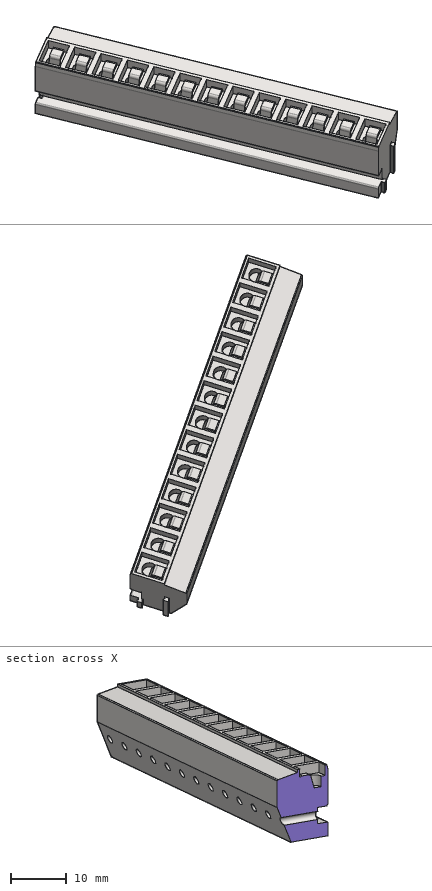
import cadquery as cq

OVERALL_LENGTH = 65.7
POLES = 13
RIB_REACH = 0.7
BODY_LENGTH = OVERALL_LENGTH - RIB_REACH
PITCH = BODY_LENGTH / POLES
DEPTH = 10.8
HEIGHT = 13.5

LIP_TOP = 2.7
LIP_RADIUS = 0.25
NOTCH_TOP = 5.65
NOTCH_DEPTH = 2.2
NOTCH_EDGE_SETBACK = 0.25
NOTCH_EDGE_HEIGHT = 0.4
FRONT_BEVEL_BOTTOM = 12.55
FRONT_BEVEL_TOP = 13.35
FRONT_BEVEL_SETBACK = 0.2
TOP_EDGE_SETBACK = 0.3
STEP_Y = 6.5
STEP_BOTTOM = 12.95
BACK_TOP = 12.2
BACK_EDGE_CHAMFER = 0.2
BACK_SLOPE_TOP = 7.0
BASE_DEPTH = 7.8

POCKET_WIDTH = 4.0
POCKET_FRONT = 0.7
POCKET_BACK = 5.9
POCKET_DEPTH = 2.0
POCKET_FLOOR = HEIGHT - POCKET_DEPTH
WELL_DIAMETER = 2.6
WELL_Y = 2.8
WELL_DEPTH = 2.0
WELL_FLOOR = POCKET_FLOOR - WELL_DEPTH
TAB_WIDTH = 2.05
TAB_RISE = 0.65
TAB_TOP = POCKET_FLOOR + TAB_RISE
TAB_BACK_DROP = 0.1
TAB_CREST_BACK = 5.5
TAB_CREST_FRONT = 4.1
TAB_NOSE_RADIUS = 0.5
TAB_TOE = 2.9

WIRE_HOLE_DIAMETER = 1.45
WIRE_HOLE_Z = 4.2

JOINTS = [(7.0, 7.2), (2.05, LIP_TOP)]
JOINT_ROOT_WIDTH = 1.0
JOINT_NECK_WIDTH = 0.65
JOINT_HEAD_WIDTH = 1.05
JOINT_TIP_WIDTH = 0.8
JOINT_BEVEL = 0.1


def housing():
    outline = (
        cq.Workplane("YZ")
        .lineTo(0, LIP_TOP - LIP_RADIUS)
        .tangentArcPoint((LIP_RADIUS, LIP_TOP), relative=False)
        .lineTo(NOTCH_DEPTH, LIP_TOP)
        .lineTo(NOTCH_DEPTH, NOTCH_TOP)
        .lineTo(NOTCH_EDGE_SETBACK, NOTCH_TOP)
        .lineTo(0, NOTCH_TOP + NOTCH_EDGE_HEIGHT)
        .lineTo(0, FRONT_BEVEL_BOTTOM)
        .lineTo(FRONT_BEVEL_SETBACK, FRONT_BEVEL_TOP)
        .lineTo(TOP_EDGE_SETBACK, HEIGHT)
        .lineTo(STEP_Y, HEIGHT)
        .lineTo(STEP_Y, STEP_BOTTOM)
        .lineTo(DEPTH - BACK_EDGE_CHAMFER, BACK_TOP)
        .lineTo(DEPTH, BACK_TOP - BACK_EDGE_CHAMFER)
        .lineTo(DEPTH, BACK_SLOPE_TOP)
        .lineTo(BASE_DEPTH, 0)
        .close()
    )
    return outline.extrude(BODY_LENGTH)


def pocket(center_x):
    """Rectangular opening with a round well in its floor."""
    opening = cq.Workplane("XY").box(
        POCKET_WIDTH, POCKET_BACK - POCKET_FRONT, POCKET_DEPTH, centered=(True, False, False)
    )
    well = cq.Workplane("XY").circle(WELL_DIAMETER / 2).extrude(WELL_DEPTH)
    opening = opening.translate((center_x, POCKET_FRONT, POCKET_FLOOR))
    return opening.union(well.translate((center_x, WELL_Y, WELL_FLOOR)))


def contact_tab(center_x):
    """Tab from the back wall of a pocket, bending down into the well."""
    profile = (
        cq.Workplane("YZ")
        .moveTo(POCKET_BACK, WELL_FLOOR)
        .lineTo(POCKET_BACK, TAB_TOP - TAB_BACK_DROP)
        .lineTo(TAB_CREST_BACK, TAB_TOP)
        .lineTo(TAB_CREST_FRONT, TAB_TOP)
        .tangentArcPoint((-TAB_NOSE_RADIUS, -TAB_NOSE_RADIUS))
        .lineTo(TAB_TOE, WELL_FLOOR)
        .close()
    )
    tab = profile.extrude(TAB_WIDTH / 2, both=True)
    return tab.translate((center_x, 0, 0))


def wire_hole(center_x):
    hole = cq.Workplane("XZ").circle(WIRE_HOLE_DIAMETER / 2).extrude(-DEPTH)
    return hole.translate((center_x, 0, WIRE_HOLE_Z))


def joint(x, y, top):
    """Upright dovetail bar towards +X: bevelled root, narrow neck, wide head with bevelled tip."""
    one_side = [
        (0, JOINT_ROOT_WIDTH / 2),
        (JOINT_BEVEL, JOINT_NECK_WIDTH / 2),
        (RIB_REACH - JOINT_BEVEL, JOINT_HEAD_WIDTH / 2),
        (RIB_REACH, JOINT_TIP_WIDTH / 2),
    ]
    other_side = [(reach, -offset) for reach, offset in reversed(one_side)]
    plan = one_side + other_side
    return cq.Workplane("XY").polyline(plan).close().extrude(top).translate((x, y, 0))


result = housing()
for pole in range(POLES):
    pole_x = (pole + 0.5) * PITCH
    result = result.cut(pocket(pole_x)).union(contact_tab(pole_x)).cut(wire_hole(pole_x))
for joint_y, joint_top in JOINTS:
    result = result.cut(joint(0, joint_y, joint_top))
    result = result.union(joint(BODY_LENGTH, joint_y, joint_top))